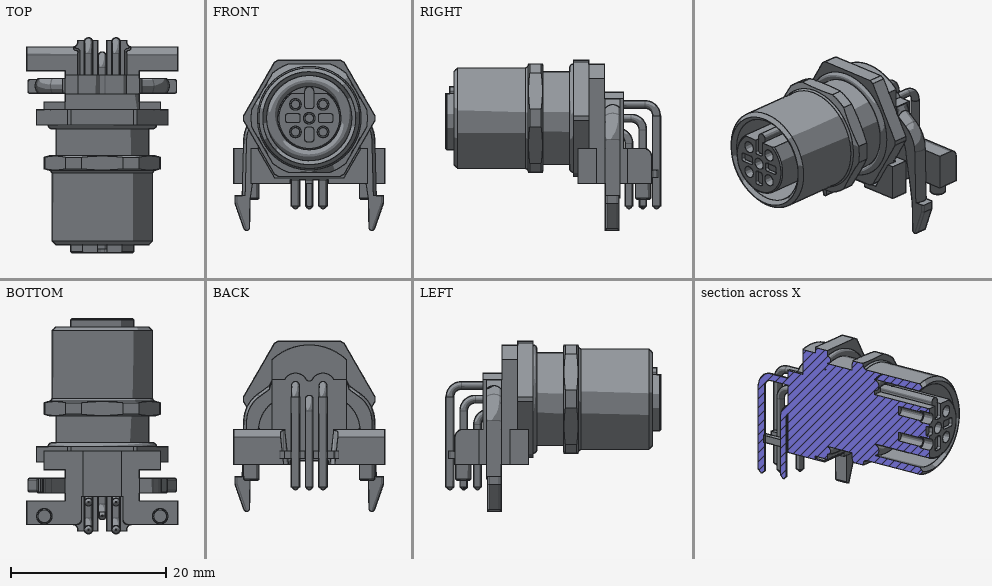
import cadquery as cq
import math


INSERT_RADIUS = 4.08
INSERT_EDGE_CHAMFER = 0.17
INSERT_FLAT_Z = 3.17
CONTACT_PITCH = 1.78
CONTACT_BORE_DIA = 1.1
CONTACT_MOUTH_DIA = 1.5
CONTACT_MOUTH_DEPTH = 1.5
CONTACT_DEPTH = 5.0
RECESS_DEPTH = 0.53
RECESS_LENGTH = 1.9
RECESS_WIDTH = 1.17
RECESS_CORNER = 0.3
RECESS_INNER = 1.17
KEY_RADIUS = 0.58
KEY_TOP = 4.05
KEY_SLOT_BOTTOM = 1.22

BARREL_FRONT = 1.05
BARREL_RADIUS = 6.5
BARREL_MOUTH_RADIUS = 6.0
BARREL_BORE_RADIUS = 5.5
BARREL_FLOOR = 8.9
NECK_RADIUS = 6.0

SMALL_NUT_FRONT = 10.6
SMALL_NUT_BACK = 12.58
SMALL_NUT_FLATS = 14.0
SMALL_NUT_CORNER_RADIUS = 7.5
SMALL_NUT_FACE_RADIUS = 6.7
SMALL_NUT_CHAMFER = 0.25
COLLAR_FRONT = 10.33

FLANGE_NUT_FRONT = 16.5
FLANGE_NUT_BACK = 18.5
FLANGE_NUT_FLATS = 15.0
FLANGE_NUT_CORNER_RADIUS = 8.5
SEAL_WIRE_RADIUS = 0.5

HOUSING_HALF_WIDTH = 4.8
HOUSING_RADIUS = 7.0
HOUSING_STEP = 20.52
HOUSING_BACK = 22.97
HOUSING_BOTTOM = -8.45
SHOULDER_Z = 2.55
BOSS_RADIUS = 1.58
SADDLE_RADIUS = 0.5
SADDLE_Z = 2.83
BLOCK_TOP = -3.9
BLOCK_HALF_WIDTH = 7.53
BLOCK_FRONT = 17.05
BLOCK_BACK = 19.5
NUT_CLEARANCE = 0.22
NOTCH_HALF_WIDTH = 2.47
NOTCH_TOP = -7.97

WING_HALF_WIDTH = 9.75
WING_FRONT = 23.5
WING_BACK = 26.58
WING_FILLET = 1.05
BAY_BOTTOM_HALF_WIDTH = 2.67
BAY_CORNER_RADIUS = 0.65
BAY_TOP_HALF_WIDTH = 3.17
PLATE_TOP = -6.7
PLATE_BOTTOM = -7.66
PLATE_BACK = 27.4
PEG_RADIUS = 1.0
PEG_X = 7.47
PEG_Y = 25.5
PEG_BOTTOM = -10.47
PEG_CHAMFER = 0.17

PIN_RADIUS = 0.5
REAR_PIN_RADIUS = 0.55
PIN_BEND_RADIUS = 1.5
REAR_PIN_Y = 27.21
PIN_SHOULDER_Z = -11.3
PIN_TIP_Z = -11.72
PIN_TIP_RADIUS = 0.08
PIN_PAD_WIDTH = 0.72

LATCH_FRONT = 20.58
LATCH_BACK = 22.52
LATCH_CROWN = 0.4
SPINE_DEPTH = 0.83
LATCH_BEND_X = 6.66
LATCH_BEND_Z = 0.65
LATCH_KNEE_X = 8.47
LATCH_KNEE_Z = -2.78
LATCH_ANKLE_X = 8.66
ROOT_TOP = 2.47
ROOT_LENGTH = 0.33
ROOT_CREST_Z = 1.75
LATCH_SLOPE = (LATCH_BEND_X - HOUSING_HALF_WIDTH - ROOT_LENGTH) / (ROOT_CREST_Z - LATCH_BEND_Z)
WEB_INSET = 0.6
WEB_BEND_MIDDLE = (7.4, -1.17)
WEB_BOTTOM_X = 7.6
WEB_FLANK_X = 7.33
WEB_SHOULDER_X = 6.55
WEB_ARMPIT = (5.95, -1.8)
WEB_ROOT_BOTTOM = -0.28
HOOK_TOP = -10.0
HOOK_REACH = 9.58
HOOK_BACK = 22.38
HOOK_FILLET = 0.28
HOOK_BARB_Z = -11.0
HOOK_TIP_Z = -14.5
HOOK_TIP_OUTER = 8.45
HOOK_TIP_INNER = 7.7
HOOK_TIP_BEVEL = 0.25

OVERLAP = 0.28


def across(y):
    """XZ workplane at depth y whose extrusions run towards +Y."""
    return cq.Workplane(cq.Plane((0, y, 0), xDir=(-1, 0, 0), normal=(0, 1, 0)))


def disc(radius, front, back):
    return across(front).circle(radius).extrude(back - front)


def box(x0, x1, y0, y1, z0, z1):
    return cq.Workplane("XY").box(x1 - x0, y1 - y0, z1 - z0, centered=False).translate((x0, y0, z0))


def turned(points):
    """Revolve (radius, y) points about the connector axis."""
    return cq.Workplane("XY").polyline(points).close().revolve(360, (0, 0, 0), (0, 1, 0))


def hexagon(flats, front, back):
    """Hexagonal prism with horizontal flats at the top and bottom."""
    return across(front).polygon(6, flats / math.cos(math.pi / 6)).extrude(back - front)


def ring(centre_radius, wire_radius, y):
    section = cq.Workplane("XY").center(centre_radius, y).circle(wire_radius)
    return section.revolve(360, (-centre_radius, 0, 0), (-centre_radius, 1, 0))


def both_sides(solid):
    return solid.union(solid.mirror("YZ"))


def make_barrel():
    lip = BARREL_RADIUS - BARREL_MOUTH_RADIUS
    lead_in = BARREL_MOUTH_RADIUS - BARREL_BORE_RADIUS
    barrel = turned([
        (0, BARREL_FLOOR),
        (BARREL_BORE_RADIUS, BARREL_FLOOR),
        (BARREL_BORE_RADIUS, BARREL_FRONT + lead_in),
        (BARREL_MOUTH_RADIUS, BARREL_FRONT),
        (BARREL_RADIUS, BARREL_FRONT + lip),
        (BARREL_RADIUS, COLLAR_FRONT),
        (SMALL_NUT_FACE_RADIUS, SMALL_NUT_FRONT),
        (NECK_RADIUS, SMALL_NUT_FRONT),
        (NECK_RADIUS, FLANGE_NUT_BACK),
        (0, FLANGE_NUT_BACK),
    ])
    seal_radius = (BARREL_BORE_RADIUS + INSERT_RADIUS) / 2
    seal = ring(seal_radius, BARREL_BORE_RADIUS - seal_radius, BARREL_FLOOR)
    return barrel.union(seal)


def make_small_nut():
    envelope = turned([
        (0, SMALL_NUT_FRONT),
        (SMALL_NUT_FACE_RADIUS, SMALL_NUT_FRONT),
        (SMALL_NUT_CORNER_RADIUS, SMALL_NUT_FRONT + SMALL_NUT_CHAMFER),
        (SMALL_NUT_CORNER_RADIUS, SMALL_NUT_BACK - SMALL_NUT_CHAMFER),
        (SMALL_NUT_FACE_RADIUS, SMALL_NUT_BACK),
        (0, SMALL_NUT_BACK),
    ])
    return hexagon(SMALL_NUT_FLATS, SMALL_NUT_FRONT, SMALL_NUT_BACK).intersect(envelope)


def make_flange_nut():
    nut = hexagon(FLANGE_NUT_FLATS, FLANGE_NUT_FRONT, FLANGE_NUT_BACK)
    nut = nut.intersect(disc(FLANGE_NUT_CORNER_RADIUS, FLANGE_NUT_FRONT, FLANGE_NUT_BACK))
    return nut.union(ring(NECK_RADIUS + SEAL_WIRE_RADIUS, SEAL_WIRE_RADIUS, FLANGE_NUT_FRONT))


def make_insert():
    insert = disc(INSERT_RADIUS, 0, BARREL_FLOOR + OVERLAP).faces("<Y").chamfer(INSERT_EDGE_CHAMFER)
    insert = insert.cut(box(-INSERT_RADIUS, INSERT_RADIUS, 0, BARREL_FLOOR, INSERT_FLAT_Z, INSERT_RADIUS))

    key_z = KEY_TOP - KEY_RADIUS
    key = disc(KEY_RADIUS, RECESS_DEPTH, BARREL_FLOOR).translate((0, 0, key_z))
    key_foot = INSERT_FLAT_Z - KEY_RADIUS
    key = key.union(box(-KEY_RADIUS, KEY_RADIUS, RECESS_DEPTH, BARREL_FLOOR, key_foot, key_z))
    key_slot = box(-KEY_RADIUS, KEY_RADIUS, 0, RECESS_DEPTH, KEY_SLOT_BOTTOM, INSERT_RADIUS)
    key_slot = key_slot.edges("|Y and <Z").fillet(RECESS_CORNER)
    insert = insert.union(key).cut(key_slot)

    recess = (
        across(0).center(0, -RECESS_INNER - RECESS_LENGTH / 2)
        .rect(RECESS_WIDTH, RECESS_LENGTH).extrude(RECESS_DEPTH)
        .edges("|Y").fillet(RECESS_CORNER)
    )
    for angle in (-90, 0, 90):
        insert = insert.cut(recess.rotate((0, 0, 0), (0, 1, 0), angle))

    corner = CONTACT_PITCH
    sockets = [(0, 0)] + [(x, z) for x in (-corner, corner) for z in (-corner, corner)]
    socket = turned([
        (0, 0),
        (CONTACT_MOUTH_DIA / 2, 0),
        (CONTACT_MOUTH_DIA / 2, CONTACT_MOUTH_DEPTH),
        (CONTACT_BORE_DIA / 2, CONTACT_MOUTH_DEPTH),
        (CONTACT_BORE_DIA / 2, CONTACT_DEPTH),
        (0, CONTACT_DEPTH),
    ])
    for x, z in sockets:
        insert = insert.cut(socket.translate((x, 0, z)))
    return insert


def make_housing():
    width = HOUSING_HALF_WIDTH
    body = disc(HOUSING_RADIUS, FLANGE_NUT_BACK, HOUSING_STEP).union(
        box(-width, width, FLANGE_NUT_BACK, HOUSING_STEP, HOUSING_BOTTOM, 0)
    )
    body = body.intersect(
        box(-width, width, FLANGE_NUT_BACK, HOUSING_STEP, HOUSING_BOTTOM, HOUSING_RADIUS)
    )
    rear = box(-width, width, HOUSING_STEP, HOUSING_BACK, HOUSING_BOTTOM, SHOULDER_Z)
    groove = disc(SADDLE_RADIUS, HOUSING_STEP, HOUSING_BACK).translate((0, 0, SADDLE_Z))
    rear = rear.cut(groove)
    boss = disc(BOSS_RADIUS, HOUSING_STEP, HOUSING_BACK).translate((CONTACT_PITCH, 0, CONTACT_PITCH))

    block = box(-BLOCK_HALF_WIDTH, BLOCK_HALF_WIDTH, BLOCK_FRONT, BLOCK_BACK, HOUSING_BOTTOM, BLOCK_TOP)
    block = block.cut(hexagon(FLANGE_NUT_FLATS + 2 * NUT_CLEARANCE, BLOCK_FRONT, FLANGE_NUT_BACK))

    return body.union(rear).union(both_sides(boss)).union(block)


def make_wings():
    width = WING_HALF_WIDTH
    wings = box(-width, width, WING_FRONT, WING_BACK, HOUSING_BOTTOM, BLOCK_TOP)
    wings = wings.edges("|X and >Y and >Z").fillet(WING_FILLET)
    inner = HOUSING_HALF_WIDTH
    link = box(-inner, inner, HOUSING_BACK, WING_FRONT, HOUSING_BOTTOM, BLOCK_TOP)
    wings = wings.union(link)

    lean = BAY_TOP_HALF_WIDTH - BAY_BOTTOM_HALF_WIDTH
    height = BLOCK_TOP - HOUSING_BOTTOM
    draft = math.degrees(math.atan(lean / height))
    half = BAY_BOTTOM_HALF_WIDTH
    flare = half + BAY_CORNER_RADIUS
    diagonal = BAY_CORNER_RADIUS * (1 - math.sqrt(0.5))
    flare_start = WING_BACK - BAY_CORNER_RADIUS
    bay = (
        cq.Workplane("XY", origin=(0, 0, HOUSING_BOTTOM))
        .moveTo(-half, HOUSING_BACK)
        .lineTo(half, HOUSING_BACK)
        .lineTo(half, flare_start)
        .threePointArc((half + diagonal, WING_BACK - diagonal), (flare, WING_BACK))
        .lineTo(flare, PLATE_BACK)
        .lineTo(-flare, PLATE_BACK)
        .lineTo(-flare, WING_BACK)
        .threePointArc((-half - diagonal, WING_BACK - diagonal), (-half, flare_start))
        .close()
        .extrude(height, taper=-draft)
    )
    wings = wings.cut(bay)

    peg = (
        cq.Workplane("XY", origin=(PEG_X, PEG_Y, PEG_BOTTOM))
        .circle(PEG_RADIUS).extrude(HOUSING_BOTTOM - PEG_BOTTOM + OVERLAP)
        .faces("<Z").chamfer(PEG_CHAMFER)
    )
    return wings.union(both_sides(peg))


def make_guide_plate():
    """Plate behind the housing, slotted for the pins, with ears that hook behind the wings."""
    half = BAY_TOP_HALF_WIDTH
    ear = half + BAY_CORNER_RADIUS
    ear_root = WING_BACK - BAY_CORNER_RADIUS
    curve_start = WING_BACK + BAY_CORNER_RADIUS
    diagonal = BAY_CORNER_RADIUS * (1 - math.sqrt(0.5))
    plate = (
        cq.Workplane("XY", origin=(0, 0, PLATE_BOTTOM))
        .moveTo(0, HOUSING_BACK)
        .lineTo(half, HOUSING_BACK)
        .lineTo(half, ear_root)
        .lineTo(ear, ear_root)
        .lineTo(ear, WING_BACK)
        .threePointArc((half + diagonal, WING_BACK + diagonal), (half, curve_start))
        .lineTo(half, PLATE_BACK)
        .lineTo(0, PLATE_BACK)
        .close()
        .extrude(PLATE_TOP - PLATE_BOTTOM)
    )
    plate = both_sides(plate)
    for x in (-CONTACT_PITCH, 0, CONTACT_PITCH):
        slot = box(
            x - REAR_PIN_RADIUS, x + REAR_PIN_RADIUS, HOUSING_BACK, PLATE_BACK, PLATE_BOTTOM, PLATE_TOP
        )
        plate = plate.cut(slot)
    return plate


def pointed_rod(radius, top):
    """Vertical rod about the Z axis, ending in a blunt cone."""
    tip = [(0, top), (radius, top), (radius, PIN_SHOULDER_Z), (PIN_TIP_RADIUS, PIN_TIP_Z), (0, PIN_TIP_Z)]
    return cq.Workplane("XZ").polyline(tip).close().revolve(360, (0, 0, 0), (0, 1, 0))


def make_pin(x, z, radius):
    """Pin that leaves the housing at (x, z) and bends straight down."""
    y = REAR_PIN_Y + z - CONTACT_PITCH
    bend_y = y - PIN_BEND_RADIUS
    bend_z = z - PIN_BEND_RADIUS
    diagonal = PIN_BEND_RADIUS * math.sqrt(0.5)
    path = (
        cq.Workplane("YZ", origin=(x, 0, 0))
        .moveTo(HOUSING_STEP, z)
        .lineTo(bend_y, z)
        .threePointArc((bend_y + diagonal, bend_z + diagonal), (y, bend_z))
    )
    bend = across(HOUSING_STEP).center(-x, z).circle(PIN_RADIUS).sweep(path)
    leg = pointed_rod(radius, bend_z).translate((x, y, 0))
    return bend.union(leg)


def make_pin_pad():
    """Flat pad along the front of the centre pin's leg, tapering with the tip."""
    half = PIN_PAD_WIDTH / 2
    pad = box(-half, half, -PIN_RADIUS, 0, PIN_TIP_Z, HOUSING_BOTTOM)
    taper = pointed_rod(math.hypot(half, PIN_RADIUS), HOUSING_BOTTOM)
    return pad.intersect(taper).translate((0, REAR_PIN_Y - CONTACT_PITCH, 0))


def make_pins():
    pitch = CONTACT_PITCH
    pins = make_pin(0, 0, PIN_RADIUS).union(make_pin_pad())
    for x in (-pitch, pitch):
        pins = pins.union(make_pin(x, pitch, REAR_PIN_RADIUS))
        pins = pins.union(make_pin(x, -pitch, PIN_RADIUS))
    return pins


def make_latch_root():
    """Flare that blends a flat-topped root on the housing wall into the rounded spine."""
    half = (LATCH_BACK - LATCH_FRONT) / 2
    edge_z = ROOT_CREST_Z - LATCH_CROWN * math.hypot(1, LATCH_SLOPE) / LATCH_SLOPE
    middle = (LATCH_FRONT + LATCH_BACK) / 2
    wall = cq.Plane((-HOUSING_HALF_WIDTH, middle, 0), xDir=(0, -1, 0), normal=(-1, 0, 0))
    return (
        cq.Workplane(wall)
        .moveTo(-half, 0)
        .lineTo(-half, ROOT_TOP)
        .lineTo(half, ROOT_TOP)
        .lineTo(half, 0)
        .close()
        .workplane(offset=ROOT_LENGTH)
        .moveTo(-half, 0)
        .lineTo(-half, edge_z)
        .threePointArc((0, ROOT_CREST_Z), (half, edge_z))
        .lineTo(half, 0)
        .close()
        .loft(ruled=True)
    )


def make_latch():
    """Arm on the -X side: it leaves the housing sideways, bends down and ends in a barbed hook."""
    depth = LATCH_BACK - LATCH_FRONT
    middle = (LATCH_FRONT + LATCH_BACK) / 2
    root_x = HOUSING_HALF_WIDTH - OVERLAP
    root_z = LATCH_BEND_Z + (LATCH_BEND_X - root_x) / LATCH_SLOPE

    crest = (
        across(middle)
        .moveTo(root_x, root_z)
        .lineTo(LATCH_BEND_X, LATCH_BEND_Z)
        .tangentArcPoint((LATCH_KNEE_X, LATCH_KNEE_Z), relative=False)
        .lineTo(LATCH_ANKLE_X, HOOK_TOP - OVERLAP)
    )
    start = cq.Plane((-root_x, middle, root_z), xDir=(0, -1, 0), normal=(-LATCH_SLOPE, 0, -1))
    spine = (
        cq.Workplane(start)
        .moveTo(-depth / 2, -SPINE_DEPTH)
        .lineTo(-depth / 2, -LATCH_CROWN)
        .threePointArc((0, 0), (depth / 2, -LATCH_CROWN))
        .lineTo(depth / 2, -SPINE_DEPTH)
        .close()
        .sweep(crest)
    )

    inward_x = 1 / math.hypot(1, LATCH_SLOPE)
    inward_z = LATCH_SLOPE * inward_x
    web = (
        across(LATCH_FRONT)
        .moveTo(root_x, root_z - WEB_INSET / inward_z)
        .lineTo(LATCH_BEND_X - WEB_INSET * inward_x, LATCH_BEND_Z - WEB_INSET * inward_z)
        .threePointArc(WEB_BEND_MIDDLE, (LATCH_KNEE_X - WEB_INSET, LATCH_KNEE_Z))
        .lineTo(LATCH_ANKLE_X - WEB_INSET, HOOK_TOP - OVERLAP)
        .lineTo(WEB_BOTTOM_X, HOOK_TOP - OVERLAP)
        .lineTo(WEB_FLANK_X, HOUSING_BOTTOM)
        .lineTo(WEB_SHOULDER_X, BLOCK_TOP)
        .threePointArc(WEB_ARMPIT, (root_x, WEB_ROOT_BOTTOM))
        .close()
        .extrude(depth)
    )

    tip_side_z = HOOK_TIP_Z + HOOK_TIP_BEVEL
    hook = (
        across(LATCH_FRONT)
        .moveTo(WEB_BOTTOM_X, HOOK_TOP)
        .lineTo(HOOK_REACH, HOOK_TOP)
        .lineTo(HOOK_REACH, HOOK_BARB_Z)
        .lineTo(HOOK_TIP_OUTER, tip_side_z)
        .lineTo(HOOK_TIP_OUTER - HOOK_TIP_BEVEL, HOOK_TIP_Z)
        .lineTo(HOOK_TIP_INNER + HOOK_TIP_BEVEL, HOOK_TIP_Z)
        .lineTo(HOOK_TIP_INNER, tip_side_z)
        .close()
        .extrude(HOOK_BACK - LATCH_FRONT)
    )
    ramp = cq.selectors.BoxSelector(
        (-HOOK_REACH - OVERLAP, LATCH_FRONT - OVERLAP, HOOK_TIP_Z),
        (-LATCH_ANKLE_X, LATCH_BACK + OVERLAP, HOOK_TOP - OVERLAP),
    )
    hook = hook.edges(ramp).edges("not |Y").fillet(HOOK_FILLET)
    return spine.union(web).union(make_latch_root()).union(hook)


result = make_housing().union(both_sides(make_latch()))
for part in (
    make_barrel(), make_small_nut(), make_flange_nut(), make_insert(), make_wings(),
    make_guide_plate(), make_pins(),
):
    result = result.union(part)
notch = box(
    -NOTCH_HALF_WIDTH, NOTCH_HALF_WIDTH, BLOCK_FRONT, HOUSING_BACK, HOUSING_BOTTOM, NOTCH_TOP
)
result = result.cut(notch)